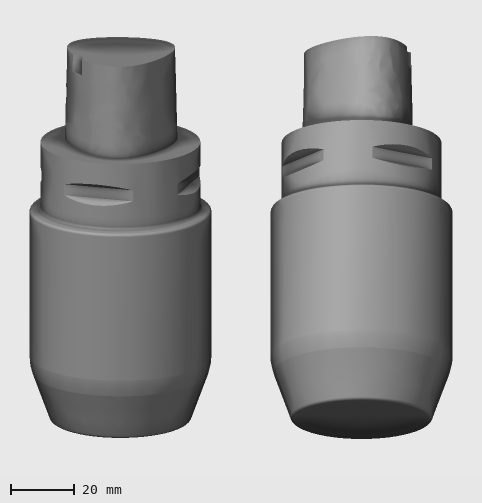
import cadquery as cq
import math

total_height = 120.0
shank_base_z = 90.4

body_diameter = 57.0
body_radius = body_diameter / 2
collar_diameter = 50.0
collar_radius = collar_diameter / 2
collar_fillet_top_z = 69.8
shoulder_inner_radius = 25.8
shoulder_inner_z = 68.9
shoulder_outer_radius = 27.7
shoulder_outer_z = 68.5
shoulder_round_bottom_z = 67.5

nose_angle = math.radians(20)
nose_blend_top_z = 20.8
nose_blend_height = 5.4
nose_edge_radius = 1.2

lobe_height = 1.5
shank_base_radius = 17.4
shank_taper = 1 / 40
outline_points = 36

notch_radius = 4.5
notch_depth = 5.6
notch_inner_y = -13.8

slot_center_z = 79.9
slot_floor_distance = 22.3
slot_floor_height = 3.6
slot_mouth_height = 6.8
slot_count = 4
slot_first_angle = 45


def make_body():
    blend_radius = nose_blend_height / math.sin(nose_angle)
    blend_center_r = body_radius - blend_radius
    blend_mid = (
        blend_center_r + blend_radius * math.cos(nose_angle / 2),
        nose_blend_top_z - blend_radius * math.sin(nose_angle / 2),
    )
    cone_top_radius = blend_center_r + blend_radius * math.cos(nose_angle)
    cone_top_z = nose_blend_top_z - nose_blend_height
    nose_radius = cone_top_radius - cone_top_z * math.tan(nose_angle)

    profile = (
        cq.Workplane("XZ")
        .lineTo(nose_radius, 0)
        .lineTo(cone_top_radius, cone_top_z)
        .threePointArc(blend_mid, (body_radius, nose_blend_top_z))
        .lineTo(body_radius, shoulder_round_bottom_z)
        .tangentArcPoint((shoulder_outer_radius, shoulder_outer_z), relative=False)
        .lineTo(shoulder_inner_radius, shoulder_inner_z)
        .threePointArc(collar_fillet_middle(), (collar_radius, collar_fillet_top_z))
        .lineTo(collar_radius, shank_base_z)
        .lineTo(0, shank_base_z)
        .close()
    )
    body = profile.revolve(360, (0, 0, 0), (0, 1, 0))
    return body.faces("<Z").edges().fillet(nose_edge_radius)


def collar_fillet_middle():
    run = shoulder_inner_radius - collar_radius
    drop = collar_fillet_top_z - shoulder_inner_z
    fillet_radius = (run**2 + drop**2) / (2 * run)
    half_sweep = math.asin(drop / fillet_radius) / 2
    return (
        collar_radius + fillet_radius * (1 - math.cos(half_sweep)),
        collar_fillet_top_z - fillet_radius * math.sin(half_sweep),
    )


def lobed_outline(mean_radius):
    """Closed hypotrochoid with three rounded lobes."""
    points = []
    for i in range(outline_points):
        angle = 2 * math.pi * i / outline_points
        x = mean_radius * math.sin(angle) - lobe_height * math.sin(2 * angle)
        y = mean_radius * math.cos(angle) + lobe_height * math.cos(2 * angle)
        points.append((x, y))
    return points


def make_shank():
    height = total_height - shank_base_z
    shank_top_radius = shank_base_radius - height * shank_taper
    return (
        cq.Workplane("XY", origin=(0, 0, shank_base_z))
        .spline(lobed_outline(shank_base_radius), periodic=True)
        .close()
        .workplane(offset=height)
        .spline(lobed_outline(shank_top_radius), periodic=True)
        .close()
        .loft(ruled=True)
    )


def make_notch():
    return (
        cq.Workplane("XY", origin=(0, notch_inner_y - notch_radius, total_height))
        .circle(notch_radius)
        .extrude(-notch_depth)
    )


def make_slot(angle):
    slot = (
        cq.Workplane("XZ", origin=(0, 0, slot_center_z))
        .moveTo(slot_floor_distance, -slot_floor_height / 2)
        .lineTo(collar_radius, -slot_mouth_height / 2)
        .lineTo(collar_radius, slot_mouth_height / 2)
        .lineTo(slot_floor_distance, slot_floor_height / 2)
        .close()
        .extrude(collar_radius, both=True)
    )
    return slot.rotate((0, 0, 0), (0, 0, 1), angle)


result = make_body().union(make_shank()).cut(make_notch())
for slot_index in range(slot_count):
    result = result.cut(make_slot(slot_first_angle + slot_index * 360 / slot_count))